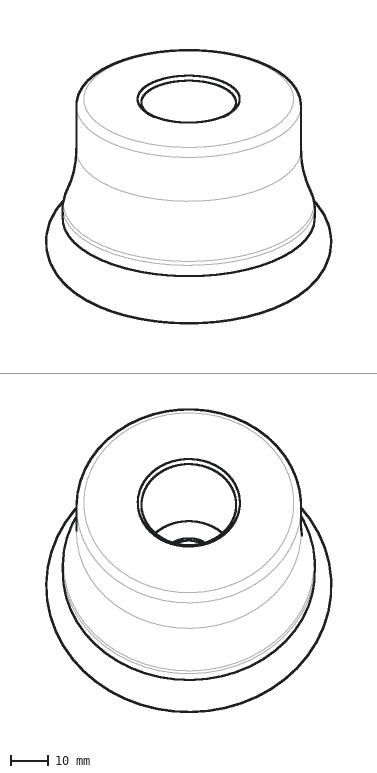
import cadquery as cq
import math

outer_radius = 38.1
height = 50.8

ring_section_radius = 7.9
ring_center_radius = outer_radius - ring_section_radius

neck_radius = 30.0
neck_bottom_z = 35.65
neck_top_fillet = 2.0
flange_radius = 33.7
flange_top_z = 18.3
flare_bottom_radius = 33.45
flare_bottom_z = 19.35
flange_overhang = flange_radius - ring_center_radius
flange_bottom_z = ring_section_radius + math.sqrt(ring_section_radius**2 - flange_overhang**2)
underside_z = ring_section_radius

bore_radius = 12.65
bore_depth = 30.5
bore_chamfer = 1.0
hole_radius = 6.85
hole_chamfer = 0.45


def flare_midpoint():
    """Middle point of the flare arc, which is tangent to the neck at its top."""
    run = flare_bottom_radius - neck_radius
    drop = neck_bottom_z - flare_bottom_z
    arc_radius = (run**2 + drop**2) / (2 * run)
    half_angle = math.asin(drop / arc_radius) / 2
    return (
        neck_radius + arc_radius * (1 - math.cos(half_angle)),
        neck_bottom_z - arc_radius * math.sin(half_angle),
    )


def revolve_about_z(profile):
    """Turn a closed radius-height profile into a solid of revolution."""
    return profile.revolve(360, (0, 0, 0), (0, 1, 0))


def make_housing():
    """Neck, flare and flange with a chamfered stepped bore, seated on the ring."""
    bore_floor_z = height - bore_depth
    profile = (
        cq.Workplane("XZ")
        .moveTo(hole_radius, underside_z)
        .lineTo(ring_center_radius - ring_section_radius, underside_z)
        .threePointArc(
            (ring_center_radius, 2 * ring_section_radius),
            (flange_radius, flange_bottom_z),
        )
        .lineTo(flange_radius, flange_top_z)
        .lineTo(flare_bottom_radius, flare_bottom_z)
        .threePointArc(flare_midpoint(), (neck_radius, neck_bottom_z))
        .lineTo(neck_radius, height - neck_top_fillet)
        .radiusArc((neck_radius - neck_top_fillet, height), -neck_top_fillet)
        .lineTo(bore_radius + bore_chamfer, height)
        .lineTo(bore_radius, height - bore_chamfer)
        .lineTo(bore_radius, bore_floor_z)
        .lineTo(hole_radius + hole_chamfer, bore_floor_z)
        .lineTo(hole_radius, bore_floor_z - hole_chamfer)
    )
    return revolve_about_z(profile.close())


def make_foot_ring():
    """Solid ring of round section that carries the housing."""
    section = cq.Workplane("XZ").moveTo(ring_center_radius, ring_section_radius).circle(ring_section_radius)
    return revolve_about_z(section)


housing = make_housing()
foot_ring = make_foot_ring()
result = cq.Compound.makeCompound([housing.val(), foot_ring.val()])